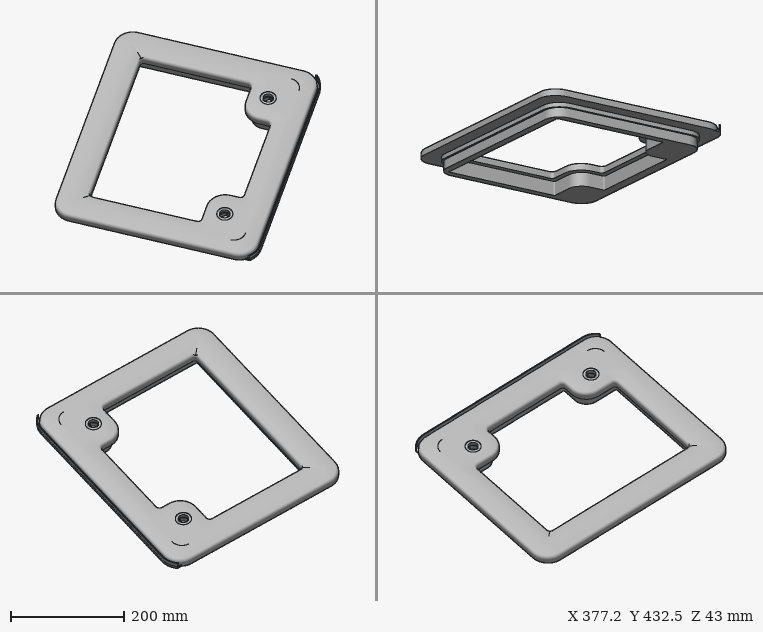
import cadquery as cq
import math

frame_x = 372.0
frame_y = 432.5
frame_corner_r = 34.0
bar_width = 56.0
flange_bottom = 26.0
top_z = 43.0
dome_drop = 4.0
edge_fillet = 5.5

boss_reach_x = 112.5
boss_reach_y = 128.5
boss_corner_r = 34.0
opening_corner_r = 6.5
pad_corner_r = 21.5

collar_step_z = 17.7
collar_inset = 26.5
collar_step = 4.0
collar_corner_r = 33.7
collar_setback = 11.0
collar_opening_corner_r = 2.0
collar_boss_corner_r = 26.0

gutter_gap = 3.5
gutter_lip = 1.7
gutter_floor_z = 29.0
gutter_top_z = 40.0
gutter_end_inset = 5.0

insert_r = 14.3
insert_bottom = flange_bottom
insert_from_x_side = 75.2
insert_from_y_side = 81.0
insert_edge_fillet = 1.5
recess_r = 9.0
recess_depth = 6.5
socket_width = 14.0
socket_depth = 8.5

half_x = frame_x / 2
half_y = frame_y / 2
crest = bar_width / 2
edge_z = top_z - dome_drop
dome_r = (crest**2 + dome_drop**2) / (2 * dome_drop)
gutter_width = gutter_gap + gutter_lip
wall_x = half_x - bar_width
wall_y = half_y - bar_width
boss_x = half_x - boss_reach_x
boss_y = half_y - boss_reach_y
insert_x = half_x - insert_from_x_side
insert_y = half_y - insert_from_y_side


def dome_z(offset):
    """Height of the domed top at a distance inward from the frame's side."""
    return top_z - dome_r + math.sqrt(dome_r**2 - (offset - crest) ** 2)


def rounded_block(size_x, size_y, corner_r, bottom, top, center_x=0):
    """Upright rectangular block with rounded vertical edges."""
    block = cq.Workplane("XY", origin=(center_x, 0, bottom)).rect(size_x, size_y)
    return block.extrude(top - bottom).edges("|Z").fillet(corner_r)


def trace_boss(path, setback, concave_r, convex_r):
    """Extend a path along the opening's wall around the +X +Y boss."""
    far_x = wall_x + setback
    far_y = wall_y + setback
    near_x = boss_x + setback
    near_y = boss_y + setback
    return (
        path.radiusArc((near_x, far_y - concave_r), concave_r)
        .lineTo(near_x, near_y + convex_r)
        .radiusArc((near_x + convex_r, near_y), -convex_r)
        .lineTo(far_x - concave_r, near_y)
        .radiusArc((far_x, near_y - concave_r), concave_r)
    )


def opening_path(setback, concave_r, convex_r, z):
    """The +Y half of the opening's wall line, grown outward by a setback."""
    far_x = wall_x + setback
    far_y = wall_y + setback
    path = (
        cq.Workplane("XY", origin=(0, 0, z))
        .moveTo(-far_x, 0)
        .lineTo(-far_x, far_y - concave_r)
        .radiusArc((-far_x + concave_r, far_y), concave_r)
        .lineTo(boss_x + setback - concave_r, far_y)
    )
    return trace_boss(path, setback, concave_r, convex_r).lineTo(far_x, 0)


def opening_block(setback, concave_r, convex_r, bottom, top):
    """Block that fills the opening."""
    half = opening_path(setback, concave_r, convex_r, bottom).close().extrude(top - bottom)
    return half.union(half.mirror("XZ"))


def domed_ring():
    """Mitred bars with an arched top and revolved outer corners.

    The bars reach past the opening's walls, to leave stock for its rounded corners.
    """
    blank_width = bar_width + opening_corner_r
    bar_profile = (
        cq.Workplane("XZ", origin=(-half_x, 0, 0))
        .moveTo(0, flange_bottom)
        .lineTo(0, edge_z)
        .threePointArc((crest, top_z), (blank_width, dome_z(blank_width)))
        .lineTo(blank_width, flange_bottom)
        .close()
    )
    outline = cq.Workplane("XY").rect(frame_x, frame_y)
    ring = bar_profile.sweep(outline, transition="right")

    corner_block = (
        cq.Workplane("XY", origin=(0, 0, flange_bottom))
        .rect(frame_x - frame_corner_r, frame_y - frame_corner_r, forConstruction=True)
        .vertices()
        .rect(frame_corner_r, frame_corner_r)
        .extrude(top_z - flange_bottom)
    )
    ring = ring.cut(corner_block)
    center_x = half_x - frame_corner_r
    center_y = half_y - frame_corner_r
    middle_offset = frame_corner_r / 2
    for side_x, side_y, start_angle in [(1, 1, 0), (-1, 1, 90), (-1, -1, 180), (1, -1, 270)]:
        corner = (
            cq.Workplane("XZ")
            .moveTo(0, flange_bottom)
            .lineTo(frame_corner_r, flange_bottom)
            .lineTo(frame_corner_r, edge_z)
            .threePointArc((middle_offset, dome_z(middle_offset)), (0, dome_z(frame_corner_r)))
            .close()
            .revolve(90, (0, 0, 0), (0, 1, 0))
        )
        corner = corner.rotate((0, 0, 0), (0, 0, 1), start_angle)
        ring = ring.union(corner.translate((side_x * center_x, side_y * center_y, 0)))

    tolerance = 0.05
    outer_rim = cq.selectors.BoxSelector(
        (-frame_x, -frame_y, edge_z - tolerance), (frame_x, frame_y, edge_z + tolerance), boundingbox=True
    )
    return ring.edges(outer_rim).fillet(edge_fillet)


def boss_pad(opening):
    """Flat pad whose top slopes down to the opening like the bars do."""
    start_x = boss_x - opening_corner_r
    start_y = boss_y - opening_corner_r
    pad_size_x = half_x - crest - start_x
    pad_size_y = half_y - crest - start_y
    pad = (
        cq.Workplane("XY", origin=(start_x, start_y, flange_bottom))
        .rect(pad_size_x, pad_size_y, centered=False)
        .extrude(top_z - flange_bottom)
        .edges("|Z and >X and >Y")
        .fillet(pad_corner_r)
        .cut(opening)
    )
    path = cq.Workplane("XY").moveTo(start_x, wall_y)
    path = trace_boss(path, 0, opening_corner_r, boss_corner_r)
    slope = (
        cq.Workplane("YZ", origin=(start_x, wall_y, 0))
        .moveTo(0, edge_z)
        .threePointArc((crest / 2, dome_z(crest / 2)), (crest, top_z))
        .lineTo(0, top_z)
        .close()
        .sweep(path)
    )
    return pad.cut(slope)


def collar():
    """Two-step collar with an inner wall that follows the opening."""
    overall_x = frame_x + gutter_width
    center_x = gutter_width / 2
    upper = rounded_block(
        overall_x - 2 * collar_inset, frame_y - 2 * collar_inset,
        collar_corner_r, collar_step_z, flange_bottom, center_x,
    )
    lower_inset = collar_inset + collar_step
    lower = rounded_block(
        overall_x - 2 * lower_inset, frame_y - 2 * lower_inset,
        collar_corner_r - collar_step, 0, collar_step_z, center_x,
    )
    opening = opening_block(
        collar_setback, collar_opening_corner_r, collar_boss_corner_r, 0, flange_bottom
    )
    return upper.union(lower).cut(opening)


def outline_block(growth, bottom, top):
    """Block in the frame's outline, grown outward on every side."""
    return rounded_block(
        frame_x + 2 * growth, frame_y + 2 * growth, frame_corner_r + growth, bottom, top
    )


def gutter():
    """Upright lip along the +X side, joined to the frame by a thin floor."""
    strip = outline_block(gutter_width, flange_bottom, gutter_top_z)
    strip = strip.cut(outline_block(gutter_gap, gutter_floor_z, gutter_top_z))
    strip = strip.cut(outline_block(0, flange_bottom, gutter_top_z))
    extent = cq.Workplane("XY").rect(frame_x, frame_y - 2 * gutter_end_inset).extrude(top_z)
    return strip.intersect(extent.translate((half_x + frame_x / 2 - frame_corner_r, 0, 0)))


def inner_rim_cut():
    """Sweep that rounds the rim of the opening, tangent to the wall and the dome."""
    dome_center_z = top_z - dome_r
    center_gap = dome_r - edge_fillet
    center_rise = math.sqrt(center_gap**2 - (crest - edge_fillet) ** 2)
    fillet_z = dome_center_z + center_rise
    tangent_offset = crest - (crest - edge_fillet) * dome_r / center_gap
    tangent_z = dome_center_z + center_rise * dome_r / center_gap
    diagonal = edge_fillet * math.sqrt(0.5)
    clearance = opening_corner_r / 2
    cutter = (
        cq.Workplane("XZ", origin=(-wall_x, 0, 0))
        .moveTo(0, fillet_z)
        .threePointArc((-edge_fillet + diagonal, fillet_z + diagonal), (-tangent_offset, tangent_z))
        .lineTo(-tangent_offset, top_z)
        .lineTo(clearance, top_z)
        .lineTo(clearance, fillet_z)
        .close()
        .sweep(opening_path(0, opening_corner_r, boss_corner_r, 0))
    )
    return cutter.union(cutter.mirror("XZ"))


def make_frame():
    """The whole frame, with a hole for each insert."""
    opening = opening_block(0, opening_corner_r, boss_corner_r, flange_bottom, top_z)
    pad = boss_pad(opening)
    frame = domed_ring().cut(opening).union(pad).union(pad.mirror("XZ"))
    frame = frame.cut(inner_rim_cut())
    frame = frame.union(collar()).union(gutter())
    hole = cq.Workplane("XY", origin=(0, 0, insert_bottom)).pushPoints(
        [(insert_x, insert_y), (insert_x, -insert_y)]
    )
    return frame.cut(hole.circle(insert_r).extrude(top_z - insert_bottom))


def make_insert(y):
    """Round insert with a recess and a square socket turned by 45 degrees."""
    insert = cq.Workplane("XY", origin=(insert_x, y, insert_bottom)).circle(insert_r)
    insert = insert.extrude(top_z - insert_bottom).faces(">Z").edges().fillet(insert_edge_fillet)
    recess = cq.Workplane("XY", origin=(insert_x, y, top_z)).circle(recess_r).extrude(-recess_depth)
    socket_limit = cq.Workplane("XY", origin=(insert_x, y, top_z)).circle(recess_r)
    socket = (
        cq.Workplane("XY", origin=(insert_x, y, top_z))
        .transformed(rotate=(0, 0, 45))
        .rect(socket_width, socket_width)
        .extrude(-recess_depth - socket_depth)
        .intersect(socket_limit.extrude(-recess_depth - socket_depth))
    )
    return insert.cut(recess).cut(socket)


frame = make_frame()
inserts = [make_insert(y) for y in (insert_y, -insert_y)]
result = cq.Compound.makeCompound([frame.val(), *[insert.val() for insert in inserts]])